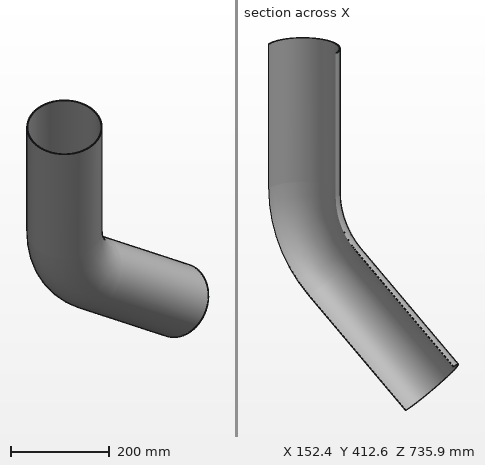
import cadquery as cq
import math

outer_diameter = 152.4
inner_diameter = 148.18
bend_angle = 45.0
bend_radius = 1.5 * outer_diameter
leg_length = 2 * outer_diameter



def bend_point(angle_deg):
    """Centreline point (Y, Z) after turning through angle_deg."""
    angle = math.radians(angle_deg)
    y = bend_radius * (1 - math.cos(angle))
    z = -bend_radius * math.sin(angle)
    return (y, z)


def make_centreline():
    """Vertical leg, bend arc and inclined leg, from top to bottom."""
    bend_end_y, bend_end_z = bend_point(bend_angle)
    turn = math.radians(bend_angle)
    leg_end = (
        bend_end_y + leg_length * math.sin(turn),
        bend_end_z - leg_length * math.cos(turn),
    )
    return (
        cq.Workplane("YZ")
        .moveTo(0, leg_length)
        .lineTo(0, 0)
        .threePointArc(bend_point(bend_angle / 2), (bend_end_y, bend_end_z))
        .lineTo(*leg_end)
    )


def make_tube():
    """Ring section swept along the centreline, open at both ends."""
    return (
        cq.Workplane("XY", origin=(0, 0, leg_length))
        .circle(outer_diameter / 2)
        .circle(inner_diameter / 2)
        .sweep(make_centreline())
    )


result = make_tube()